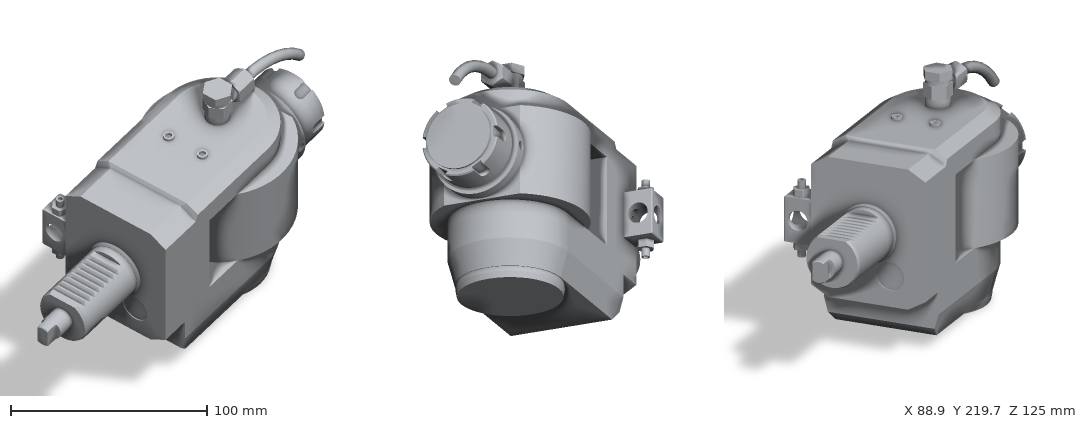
import cadquery as cq
import math


half_width = 32.0
block_half_height = 38.2
block_bevel_run = 9.7
bevel_angle = math.radians(30)
foot_front = 16.3
top_front = 25.3
top_step = 2.0
top_z = block_half_height + top_step
top_bevel_run = 7.0
taper_top_z = -45.0
foot_z = -58.9
foot_half_width = 28.3
foot_front_chamfer = 5.7
pivot_y = 86.3
gap_front = 37.1
gap_half_height = 24.2
cover_radius = 28.0
cover_bottom_z = -64.8
cover_cone_top_z = -61.5
cover_end_radius = 27.2
port_x = 12.5
port_z = -21.5
port_radius = 7.7
port_depth = 0.7

cap_screw_x = 10.8
cap_screw_y = 59.3
cap_screw_radius = 2.9
cap_screw_height = 1.5
cap_screw_socket = 4.0

head_radius = 41.0
head_flat_y = 121.5
collar_radius = 23.7
collar_end = 129.4
collar_chamfer = 0.9
collar_hole_radius = 2.5
collar_hole_y = 125.9
collar_hole_depth = 2.6
neck_radius = 17.8
nut_start = 130.5
nut_radius = 21.0
nut_end = 149.8
nut_chamfer = 0.7
nut_lip_radius = 17.5
nut_lip_end = 151.1
nut_slot_count = 6
nut_slot_width = 6.0
nut_slot_end = 138.8
nut_slot_depth = 2.5

shank_radius = 15.0
shank_length = 44.8
shank_lead_in = 1.8
shank_end_radius = 14.3
flange_radius = 16.0
flange_length = 2.0
flange_chamfer = 0.9
flat_z = 12.0
flat_start = 6.5
tooth_count = 8
first_groove = 11.5
last_groove = 39.3
tooth_pitch = (last_groove - first_groove) / (tooth_count - 1)
groove_depth = 1.5
drive_radius = 6.2
drive_shoulder = 54.5
drive_end = 61.7
tang_width = 6.4
tang_chamfer = 0.5
tang_root_fillet = 0.9

coolant_outer_x = -47.9
coolant_front = 1.3
coolant_back = 16.0
coolant_half_height = 12.3
coolant_chamfer = 0.5
coolant_hole_x = -40.0
coolant_hole_radius = 5.5
coolant_side_y = 8.8
coolant_side_radius = 4.8
coolant_side_floor_x = -34.0
coolant_feed_radius = 1.5
stud_y = 6.2
stud_nut_corners = 9.2
stud_nut_height = 4.2
stud_radius = 2.2
stud_top_z = 20.9
stud_socket = 2.6
stud_socket_depth = 1.8

hexagon_turn = 30
fitting_top_z = 60.2
fitting_head_corners = 16.3
fitting_head_height = 4.8
fitting_stem_radius = 6.5
fitting_body_corners = 15.4
fitting_body_bottom = 45.3
fitting_body_top = 52.7
hose_z = 49.5
hose_neck_radius = 4.8
hose_nut_corners = 14.0
hose_nut_chamfer = 0.7
hose_nut_start = 96.9
hose_start = 109.5
hose_radius = 3.0
hose_end_y = 158.0
hose_turn = math.radians(48)


def y_cylinder(radius, start, end, x=0, z=0):
    """Cylinder along Y between two Y positions."""
    return cq.Workplane("XZ", origin=(x, start, z)).circle(radius).extrude(start - end)


def z_cylinder(radius, bottom, top, x=0, y=0):
    """Cylinder along Z between two Z positions."""
    return cq.Workplane("XY", origin=(x, y, bottom)).circle(radius).extrude(top - bottom)


def z_hexagon(corners, bottom, top, x=0, y=0, turn=0):
    """Hexagonal prism along Z, its corners on X unless turned."""
    prism = cq.Workplane("XY").polygon(6, corners).extrude(top - bottom)
    return prism.rotate((0, 0, 0), (0, 0, 1), turn).translate((x, y, bottom))


def box(x_range, y_range, z_range):
    """Box between pairs of X, Y and Z limits."""
    size = [high - low for low, high in (x_range, y_range, z_range)]
    corner = (x_range[0], y_range[0], z_range[0])
    return cq.Workplane("XY").box(*size, centered=False).translate(corner)


def bevelled_top(top, bevel_run):
    """XZ outline points across a bevelled top, from its right side to its left side."""
    shoulder = top - bevel_run * math.tan(bevel_angle)
    flat_half = half_width - bevel_run
    return [(half_width, shoulder), (flat_half, top), (-flat_half, top), (-half_width, shoulder)]


def rounded_arm(section, start):
    """Extrude a symmetric XZ section back to the pivot and round it off about the pivot axis."""
    straight = cq.Workplane("XZ", origin=(0, start, 0)).polyline(section).close().extrude(start - pivot_y)
    right_side = [point for point in section if point[0] > 0]
    half_section = [(0, right_side[0][1])] + right_side + [(0, right_side[-1][1])]
    rounded = cq.Workplane("XZ", origin=(0, pivot_y, 0)).polyline(half_section).close().revolve()
    return straight.union(rounded)


def make_housing():
    block_top = bevelled_top(block_half_height, block_bevel_run)
    block_bottom = [(-x, -z) for x, z in block_top]
    housing = cq.Workplane("XZ").polyline(block_top + block_bottom).close().extrude(-top_front)

    base = [(-half_width, 0), (half_width, 0)]
    high_top = bevelled_top(top_z, top_bevel_run)
    ramp_end = top_front + top_step
    ramp = (
        cq.Workplane("XZ", origin=(0, top_front, 0))
        .polyline(base + block_top)
        .close()
        .workplane(offset=-top_step)
        .polyline(base + high_top)
        .close()
        .loft(ruled=True)
    )
    housing = housing.union(ramp).union(rounded_arm(base + high_top, ramp_end))

    foot_section = [
        (-half_width, 0),
        (-half_width, taper_top_z),
        (-foot_half_width, foot_z),
        (foot_half_width, foot_z),
        (half_width, taper_top_z),
        (half_width, 0),
    ]
    foot_corner = (
        cq.Workplane("YZ")
        .polyline([
            (foot_front, foot_z),
            (foot_front + foot_front_chamfer, foot_z),
            (foot_front, foot_z + foot_front_chamfer),
        ])
        .close()
        .extrude(half_width, both=True)
    )
    housing = housing.union(rounded_arm(foot_section, foot_front).cut(foot_corner))

    gap_limits = (-gap_half_height, gap_half_height)
    housing = housing.cut(box((-half_width, half_width), (gap_front, pivot_y + half_width), gap_limits))
    housing = housing.cut(y_cylinder(port_radius, 0, port_depth, port_x, port_z))
    cover = z_cylinder(cover_radius, cover_cone_top_z, foot_z, y=pivot_y)
    cone_height = cover_cone_top_z - cover_bottom_z
    cone_base = cq.Vector(0, pivot_y, cover_bottom_z)
    cone = cq.Solid.makeCone(cover_end_radius, cover_radius, cone_height, cone_base, cq.Vector(0, 0, 1))
    return housing.union(cover).union(cq.Workplane(cone))


def make_cap_screw(x):
    screw = z_cylinder(cap_screw_radius, top_z, top_z + cap_screw_height, x, cap_screw_y)
    return screw.cut(z_hexagon(cap_screw_socket, top_z, top_z + cap_screw_height, x, cap_screw_y))


def make_spindle_head():
    gap_limits = (-gap_half_height, gap_half_height)
    head = z_cylinder(head_radius, *gap_limits, y=pivot_y)
    head = head.cut(
        box((-head_radius, head_radius), (head_flat_y, pivot_y + head_radius), gap_limits)
    )
    collar = y_cylinder(collar_radius, head_flat_y, collar_end).edges("<Y").chamfer(collar_chamfer)
    for side in (-1, 1):
        hole = cq.Workplane("YZ", origin=(side * collar_radius, collar_hole_y, 0))
        collar = collar.cut(hole.circle(collar_hole_radius).extrude(-side * collar_hole_depth))
    return head.union(collar).union(y_cylinder(neck_radius, collar_end, nut_start)).union(make_nut())


def make_nut():
    nut = y_cylinder(nut_radius, nut_start, nut_end).edges().chamfer(nut_chamfer)
    nut = nut.union(y_cylinder(nut_lip_radius, nut_end, nut_lip_end))

    half_slot = nut_slot_width / 2
    slot = (
        cq.Workplane("YZ", origin=(nut_radius - nut_slot_depth, 0, 0))
        .moveTo(nut_lip_end, -half_slot)
        .lineTo(nut_slot_end + half_slot, -half_slot)
        .threePointArc((nut_slot_end, 0), (nut_slot_end + half_slot, half_slot))
        .lineTo(nut_lip_end, half_slot)
        .close()
        .extrude(2 * nut_slot_depth)
    )
    for index in range(nut_slot_count):
        nut = nut.cut(slot.rotate((0, 0, 0), (0, 1, 0), index * 360 / nut_slot_count))
    return nut


def make_shank():
    cone_start = shank_lead_in - shank_length
    shank = y_cylinder(shank_radius, 0, cone_start)
    cone_base = cq.Vector(0, cone_start, 0)
    cone = cq.Solid.makeCone(shank_radius, shank_end_radius, shank_lead_in, cone_base, cq.Vector(0, -1, 0))
    shank = shank.union(cq.Workplane(cone))
    shank = shank.cut(
        box((-shank_radius, shank_radius), (-shank_length, -flat_start), (flat_z, shank_radius))
    )
    for index in range(tooth_count):
        groove_y = -first_groove - index * tooth_pitch
        groove = (
            cq.Workplane("YZ")
            .polyline([
                (groove_y - groove_depth, flat_z),
                (groove_y, flat_z - groove_depth),
                (groove_y + groove_depth, flat_z),
            ])
            .close()
            .extrude(shank_radius, both=True)
        )
        shank = shank.cut(groove)
    flange = y_cylinder(flange_radius, 0, -flange_length).faces("<Y").chamfer(flange_chamfer)
    return shank.union(flange)


def make_drive_tang():
    drive = y_cylinder(drive_radius, -shank_length, -drive_end).faces("<Y").chamfer(tang_chamfer)

    flat_cut = box(
        (tang_width / 2, 2 * drive_radius),
        (-2 * drive_end, -drive_shoulder),
        (-drive_radius, drive_radius),
    )
    flat_cut = flat_cut.edges("<X and >Y").fillet(tang_root_fillet)
    return drive.cut(flat_cut).cut(flat_cut.mirror("YZ"))


def make_coolant_block():
    block = box(
        (coolant_outer_x, -half_width),
        (coolant_front, coolant_back),
        (-coolant_half_height, coolant_half_height),
    )
    block = block.faces("<X").chamfer(coolant_chamfer)
    block = block.cut(y_cylinder(coolant_hole_radius, coolant_front, coolant_back, coolant_hole_x))
    side = cq.Workplane("YZ", origin=(coolant_outer_x, coolant_side_y, 0))
    block = block.cut(side.circle(coolant_side_radius).extrude(coolant_side_floor_x - coolant_outer_x))
    block = block.cut(side.circle(coolant_feed_radius).extrude(-half_width - coolant_outer_x))

    nut_top = coolant_half_height + stud_nut_height
    stud = z_hexagon(stud_nut_corners, coolant_half_height, nut_top, coolant_hole_x, stud_y)
    stud = stud.union(z_cylinder(stud_radius, nut_top, stud_top_z, coolant_hole_x, stud_y))
    socket_bottom = stud_top_z - stud_socket_depth
    stud = stud.cut(z_hexagon(stud_socket, socket_bottom, stud_top_z, coolant_hole_x, stud_y))
    return block.union(stud).union(stud.mirror("XY"))


def make_hose_fitting():
    head_bottom = fitting_top_z - fitting_head_height
    fitting = z_cylinder(fitting_stem_radius, top_z, head_bottom, y=pivot_y)
    fitting = fitting.union(z_hexagon(fitting_head_corners, head_bottom, fitting_top_z, y=pivot_y))
    fitting = fitting.union(
        z_hexagon(fitting_body_corners, fitting_body_bottom, fitting_body_top, y=pivot_y, turn=hexagon_turn)
    )
    fitting = fitting.union(y_cylinder(hose_neck_radius, pivot_y, hose_nut_start, z=hose_z))

    hose_nut = (
        cq.Workplane("XZ", origin=(0, hose_nut_start, hose_z))
        .transformed(rotate=(0, 0, hexagon_turn))
        .polygon(6, hose_nut_corners)
        .extrude(hose_nut_start - hose_start)
    )
    corner_trim = y_cylinder(hose_nut_corners / 2, hose_nut_start, hose_start, z=hose_z)
    hose_nut = hose_nut.intersect(corner_trim.edges().chamfer(hose_nut_chamfer))

    tip_y = hose_end_y - hose_radius * math.sin(hose_turn)
    bend_radius = (tip_y - hose_start) / math.sin(hose_turn)
    hose = (
        cq.Workplane("XZ", origin=(0, hose_start, hose_z))
        .circle(hose_radius)
        .revolve(math.degrees(hose_turn), (2.2, -bend_radius), (-2.2, -bend_radius))
    )
    return fitting.union(hose_nut).union(hose)


result = make_housing()
for screw_x in (-cap_screw_x, cap_screw_x):
    result = result.union(make_cap_screw(screw_x))
result = (
    result.union(make_spindle_head())
    .union(make_shank())
    .union(make_drive_tang())
    .union(make_coolant_block())
    .union(make_hose_fitting())
)